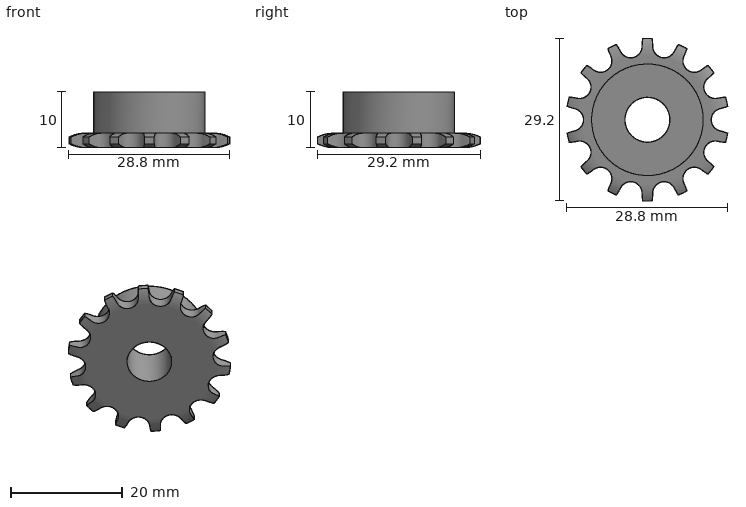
import cadquery as cq
import math

tooth_count = 14
chain_pitch = 6.0
tip_diameter = 29.2
seat_radius = 2.02
flank_radius = 12.0
flank_start_tilt = 1.0
tooth_thickness = 2.6
tip_thickness = 1.2
relief_radius = 6.0
hub_diameter = 20.0
bore_diameter = 8.0
total_height = 10.0
cut_margin = 1.0

tooth_angle = 360.0 / tooth_count
pitch_radius = chain_pitch / (2 * math.sin(math.pi / tooth_count))
tip_radius = tip_diameter / 2
relief_depth = (tooth_thickness - tip_thickness) / 2
relief_length = math.sqrt(relief_radius**2 - (relief_radius - relief_depth) ** 2)
relief_start_radius = tip_radius - relief_length


def point_on_circle(center, radius, angle):
    """Point at an angle in degrees, measured from +X, on a circle."""
    turn = math.radians(angle)
    return (center[0] + radius * math.cos(turn), center[1] + radius * math.sin(turn))


def mirrored(point):
    """The same point on the other side of the X axis."""
    return (point[0], -point[1])


def make_blank():
    """Disc with both sides rounded toward the tip, revolved about Z."""
    low_tip = relief_depth
    high_tip = tooth_thickness - relief_depth
    mid_angle = math.asin(relief_length / relief_radius) / 2
    mid_radius = relief_start_radius + relief_radius * math.sin(mid_angle)
    mid_drop = relief_radius * (1 - math.cos(mid_angle))
    return (
        cq.Workplane("YZ")
        .moveTo(0, 0)
        .lineTo(relief_start_radius, 0)
        .threePointArc((mid_radius, mid_drop), (tip_radius, low_tip))
        .lineTo(tip_radius, high_tip)
        .threePointArc((mid_radius, tooth_thickness - mid_drop), (relief_start_radius, tooth_thickness))
        .lineTo(0, tooth_thickness)
        .close()
        .revolve(360, (0, 0, 0), (0, 1, 0))
    )


def make_gap_cutter():
    """Tooth gap on the +X axis: roller seat, then a convex flank on each side."""
    seat_center = (pitch_radius, 0)
    seat_end_angle = 90 + tooth_angle / 2 + flank_start_tilt
    seat_end = point_on_circle(seat_center, seat_radius, seat_end_angle)
    flank_center = point_on_circle(seat_center, seat_radius + flank_radius, seat_end_angle)
    outer_x = tip_radius + cut_margin
    sweep = math.degrees(math.acos((outer_x - flank_center[0]) / flank_radius))
    flank_end = point_on_circle(flank_center, flank_radius, -sweep)
    flank_mid = point_on_circle(flank_center, flank_radius, (seat_end_angle - 180 - sweep) / 2)
    seat_bottom = (pitch_radius - seat_radius, 0)
    return (
        cq.Workplane("XY")
        .moveTo(*flank_end)
        .threePointArc(flank_mid, seat_end)
        .threePointArc(seat_bottom, mirrored(seat_end))
        .threePointArc(mirrored(flank_mid), mirrored(flank_end))
        .close()
        .extrude(tooth_thickness)
    )


def make_sprocket():
    """Toothed disc with a plain hub on top and a bore through both."""
    sprocket = make_blank()
    gap_cutter = make_gap_cutter()
    for index in range(tooth_count):
        sprocket = sprocket.cut(gap_cutter.rotate((0, 0, 0), (0, 0, 1), index * tooth_angle))
    hub = cq.Workplane("XY").circle(hub_diameter / 2).extrude(total_height)
    bore = cq.Workplane("XY").circle(bore_diameter / 2).extrude(total_height)
    return sprocket.union(hub).cut(bore)


result = make_sprocket()